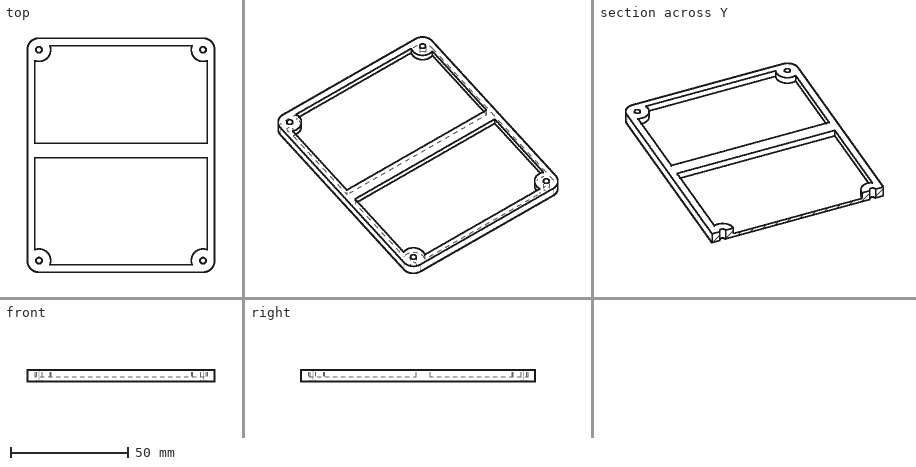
import cadquery as cq

WIDTH = 80.0
LENGTH = 100.0
HEIGHT = 5.0

CORNER_RADIUS = 5.0
BOSS_RADIUS = 5.0
HOLE_DIAMETER = 2.5

WALL = 3.2
FLOOR = 2.0
RIB_WIDTH = 6.0
RIB_CENTER_Y = 2.0

POCKET_DEPTH = HEIGHT - FLOOR
CORNER_CENTERS = [
    (x_side * (WIDTH / 2 - CORNER_RADIUS), y_side * (LENGTH / 2 - CORNER_RADIUS))
    for x_side in (-1, 1)
    for y_side in (-1, 1)
]


def make_plate():
    """Solid plate with rounded vertical corners, standing on Z = 0."""
    plate = cq.Workplane("XY").box(WIDTH, LENGTH, HEIGHT, centered=(True, True, False))
    return plate.edges("|Z").fillet(CORNER_RADIUS)


def make_pocket(y_min, y_max):
    """Rectangular pocket volume between the side walls, from the floor to the top face."""
    return (
        cq.Workplane("XY", origin=(0, (y_min + y_max) / 2, FLOOR))
        .rect(WIDTH - 2 * WALL, y_max - y_min)
        .extrude(POCKET_DEPTH)
    )


def make_bosses():
    """Round screw bosses in the four corners, from the floor to the top face."""
    return (
        cq.Workplane("XY", origin=(0, 0, FLOOR))
        .pushPoints(CORNER_CENTERS)
        .circle(BOSS_RADIUS)
        .extrude(POCKET_DEPTH)
    )


def make_screw_holes():
    """Through holes on the boss axes."""
    return (
        cq.Workplane("XY")
        .pushPoints(CORNER_CENTERS)
        .circle(HOLE_DIAMETER / 2)
        .extrude(HEIGHT)
    )


inner_end_y = LENGTH / 2 - WALL
front_pocket = make_pocket(-inner_end_y, RIB_CENTER_Y - RIB_WIDTH / 2)
back_pocket = make_pocket(RIB_CENTER_Y + RIB_WIDTH / 2, inner_end_y)
bosses = make_bosses()

result = (
    make_plate()
    .cut(front_pocket.cut(bosses))
    .cut(back_pocket.cut(bosses))
    .cut(make_screw_holes())
)